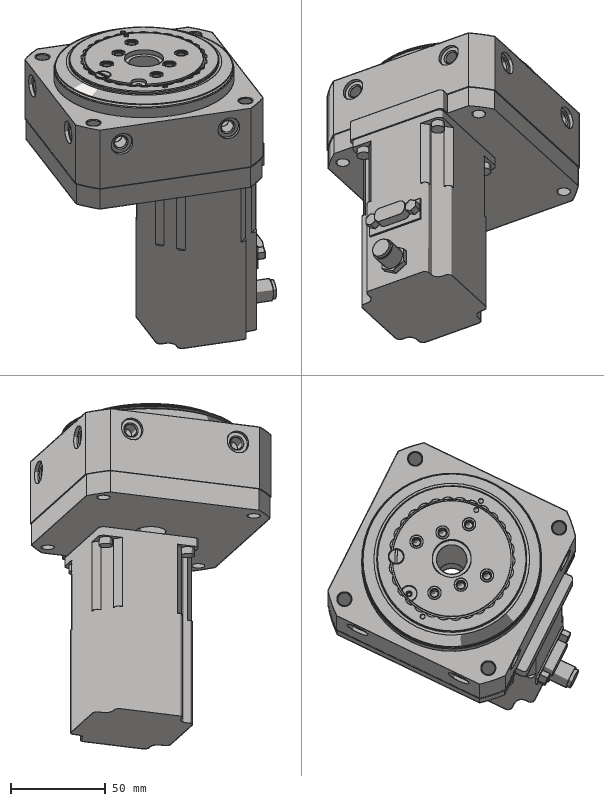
import cadquery as cq
import math


motor_top = 101.3
plate_top = 113.3
housing_top = 148.0
ring_top = 154.0
total_height = 160.0

housing_half = 52.5
housing_corner_radius = 67.4
ring_radius = 47.8
ring_chamfer = 0.5
bore_diameter = 16.0
mount_hole_offset = 42.5
mount_hole_diameter = 7.0
mount_hole_mouth_diameter = 8.0
side_hole_offset = 30.0
side_hole_z = 138.0
side_spotface_diameter = 12.0
side_spotface_depth = 2.0
side_hole_mouth_diameter = 8.0
side_hole_diameter = 6.7
side_hole_depth = 8.0
drill_tip_ratio = math.tan(math.radians(31))

plate_half = 52.0
plate_corner_radius = 66.9
tongue_half_width = 29.0
tongue_end_y = 58.0
tongue_fillet = 2.0

motor_side = 56.3
motor_half = motor_side / 2
motor_center_y = 29.3
motor_back_y = motor_center_y + motor_half
cap_bottom = 96.5
cap_corner_radius = 2.9
chamfer_zone_bottom = 57.8
corner_cut = 12.6
groove_radius = 4.5
edge_round = 2.7

screw_inset = 5.0
screw_head_diameter = 7.0
screw_head_height = 3.8
screw_shank_diameter = 4.0
screw_depth_in_plate = 6.4

plug_z = 13.0
plug_nut_diameter = 15.7
plug_nut_length = 3.0
plug_diameter = 12.0
plug_shoulder_length = 13.1
plug_tip_diameter = 10.4
plug_total_length = 15.0

socket_flange_z = 41.0
socket_flange_width = 31.7
socket_flange_height = 12.8
socket_flange_length = 1.0
socket_z = 41.6
socket_width = 18.7
socket_height = 8.5
socket_corner_radius = 3.4
socket_length = 6.4
post_offset = 12.4
post_across_flats = 6.2
post_length = 5.3

neck_radius = 39.8
flange_bottom = 155.2
flange_radius = 47.0
flange_rim_top = 155.7
cone_top = 158.0
cone_top_radius = 41.3
face_radius = 39.4
face_chamfer = 0.5
face_z = 159.5
disc_radius = 31.5
table_bore_mouth_diameter = 20.6
table_bore_mouth_depth = 2.5
hub_diameter = 32.0
seal_groove_radius = 32.5
seal_floor_z = 159.0
lobe_floor_z = 159.2
lobe_count = 30
lobe_circle_radius = 29.52
lobe_diameter = 8.2
table_hole_radius = 20.8
table_pin_hole_radius = 15.0
table_spotface_diameter = 7.0
table_spotface_depth = 0.6
table_hole_mouth_diameter = 5.0
table_hole_diameter = 4.2
table_hole_depth = 3.8
cap_plug_angle = -66.0
cap_plug_gap = 0.3
cap_plug_slot_depth = 0.5
cap_plug_slot_width = 1.1
recess_angle = -24.0
recess_diameter = 8.3
recess_depth = 1.6
recess_hole_mouth_diameter = 3.2
recess_hole_diameter = 2.0
recess_hole_depth = 2.0
mark_diameter = 2.5
mark_depth = 0.5
outer_mark_radius = 35.0
inner_mark_radius = 29.5


def cylinder(diameter, bottom, top, x=0.0, y=0.0):
    """Upright cylinder between two heights."""
    return cq.Workplane("XY", origin=(x, y, bottom)).circle(diameter / 2).extrude(top - bottom)


def polar(radius, degrees):
    """Point at a radius and angle about the table axis."""
    angle = math.radians(degrees)
    return radius * math.cos(angle), radius * math.sin(angle)


def square_corners(offset, center_y=0.0):
    """Four points of a square pattern centred on X = 0."""
    return [(sx * offset, center_y + sy * offset) for sx in (-1, 1) for sy in (-1, 1)]


def rounded_block(half_side, corner_radius, bottom, top):
    """Square block whose corners are cut by a large circle about the table axis."""
    block = cq.Workplane("XY", origin=(0, 0, bottom)).rect(2 * half_side, 2 * half_side).extrude(top - bottom)
    return block.intersect(cylinder(2 * corner_radius, bottom, top))


def drilled_hole(diameter, depth):
    """Cutter along -Z from the origin with a conical drill tip."""
    tip_end = depth + diameter / 2 * drill_tip_ratio
    profile = [(0, 0), (diameter / 2, 0), (diameter / 2, -depth), (0, -tip_end)]
    return cq.Workplane("XZ").polyline(profile).close().revolve(360, (0, 0, 0), (0, 1, 0))


def countersink(diameter, mouth_diameter):
    """45 degree cone along -Z from the origin, from the mouth down to the hole."""
    depth = (mouth_diameter - diameter) / 2
    cone = cq.Solid.makeCone(mouth_diameter / 2, diameter / 2, depth, dir=cq.Vector(0, 0, -1))
    return cq.Workplane(cone)


def spotfaced_hole(spot_diameter, spot_depth, mouth_diameter, diameter, depth):
    """Cutter along -Z from the origin: spotface, countersunk mouth and drilled hole."""
    hole = drilled_hole(diameter, depth).union(countersink(diameter, mouth_diameter))
    return cylinder(spot_diameter, -spot_depth, 0).union(hole.translate((0, 0, -spot_depth)))


def make_housing():
    body = rounded_block(housing_half, housing_corner_radius, plate_top, housing_top)
    ring = cylinder(2 * ring_radius, housing_top, ring_top).faces(">Z").chamfer(ring_chamfer)
    body = body.union(ring).cut(cylinder(hub_diameter, plate_top, ring_top))
    mouth = countersink(mount_hole_diameter, mount_hole_mouth_diameter)
    for x, y in square_corners(mount_hole_offset):
        hole = cylinder(mount_hole_diameter, plate_top, housing_top, x, y)
        body = body.cut(hole).cut(mouth.translate((x, y, housing_top)))
    return cut_side_holes(body)


def cut_side_holes(body):
    """Two threaded holes in each of the four sides."""
    hole = spotfaced_hole(
        side_spotface_diameter,
        side_spotface_depth,
        side_hole_mouth_diameter,
        side_hole_diameter,
        side_hole_depth,
    ).rotate((0, 0, 0), (1, 0, 0), 90)
    for offset in (-side_hole_offset, side_hole_offset):
        placed = hole.translate((offset, -housing_half, side_hole_z))
        for turn in (0, 90, 180, 270):
            body = body.cut(placed.rotate((0, 0, 0), (0, 0, 1), turn))
    return body


def make_plate():
    plate = rounded_block(plate_half, plate_corner_radius, motor_top, plate_top)
    tongue = (
        cq.Workplane("XY", origin=(0, tongue_end_y / 2, motor_top))
        .rect(2 * tongue_half_width, tongue_end_y)
        .extrude(plate_top - motor_top)
        .edges("|Z and >Y")
        .fillet(tongue_fillet)
    )
    plate = plate.union(tongue).cut(cylinder(bore_diameter, motor_top, plate_top))
    for x, y in square_corners(mount_hole_offset):
        plate = plate.cut(cylinder(mount_hole_diameter, motor_top, plate_top, x, y))
    for x, y in screw_points():
        plate = plate.cut(cylinder(screw_shank_diameter, motor_top, motor_top + screw_depth_in_plate, x, y))
    return plate


def screw_points():
    return square_corners(motor_half - screw_inset, motor_center_y)


def corner_groove_cutter():
    """Full-length corner cut: rounded edges, short flats and a concave groove.

    Drawn for the corner at the origin of a body lying in +X, +Y.
    """
    near = groove_radius
    far = 2 * groove_radius
    round_end = far + edge_round
    mid = near + groove_radius * math.sqrt(0.5)
    bulge = edge_round * (1 - math.sqrt(0.5))
    return (
        cq.Workplane("XY")
        .lineTo(round_end, 0)
        .threePointArc((far + bulge, bulge), (far, edge_round))
        .lineTo(far, near)
        .threePointArc((mid, mid), (near, far))
        .lineTo(edge_round, far)
        .threePointArc((bulge, far + bulge), (0, round_end))
        .close()
        .extrude(cap_bottom)
    )


def corner_chamfer_cutter():
    """Wide corner chamfer between the grooved length and the cap."""
    height = cap_bottom - chamfer_zone_bottom
    outline = [(0, 0), (corner_cut, 0), (0, corner_cut)]
    return cq.Workplane("XY", origin=(0, 0, chamfer_zone_bottom)).polyline(outline).close().extrude(height)


def make_motor():
    body = cq.Workplane("XY").rect(motor_side, motor_side).extrude(motor_top)
    cutter = corner_groove_cutter().union(corner_chamfer_cutter()).translate((-motor_half, -motor_half, 0))
    for turn in (0, 90, 180, 270):
        body = body.cut(cutter.rotate((0, 0, 0), (0, 0, 1), turn))
    cap_bounds = (
        cq.Workplane("XY", origin=(0, 0, cap_bottom))
        .rect(motor_side, motor_side)
        .extrude(motor_top - cap_bottom)
        .edges("|Z")
        .fillet(cap_corner_radius)
    )
    shaft_part = body.intersect(cq.Workplane("XY").rect(motor_side, motor_side).extrude(cap_bottom))
    body = shaft_part.union(cap_bounds).translate((0, motor_center_y, 0))
    for x, y in screw_points():
        body = body.cut(cylinder(screw_shank_diameter, cap_bottom, motor_top, x, y))
    return body.union(make_round_connector()).union(make_flat_connector())


def back_plane(x, z):
    """Sketch plane on the motor back, facing +Y."""
    return cq.Workplane(cq.Plane(origin=(x, motor_back_y, z), xDir=(-1, 0, 0), normal=(0, 1, 0)))


def make_round_connector():
    nut = back_plane(0, plug_z).polygon(6, plug_nut_diameter).extrude(plug_nut_length)
    nut = nut.rotate((0, 0, plug_z), (0, 1, plug_z), 30)
    barrel = back_plane(0, plug_z).circle(plug_diameter / 2).extrude(plug_shoulder_length)
    tip = back_plane(0, plug_z).circle(plug_tip_diameter / 2).extrude(plug_total_length)
    return nut.union(barrel).union(tip)


def make_flat_connector():
    flange = back_plane(0, socket_flange_z).rect(socket_flange_width, socket_flange_height)
    connector = flange.extrude(socket_flange_length)
    shell = back_plane(0, socket_z).rect(socket_width, socket_height).extrude(socket_length)
    connector = connector.union(shell.edges("|Y").fillet(socket_corner_radius))
    corner_diameter = post_across_flats / math.cos(math.radians(30))
    for x in (-post_offset, post_offset):
        post = back_plane(x, socket_z).polygon(6, corner_diameter).extrude(post_length)
        connector = connector.union(post.rotate((x, 0, socket_z), (x, 1, socket_z), 30))
    return connector


def make_screw(x, y):
    head = cylinder(screw_head_diameter, cap_bottom - screw_head_height, cap_bottom, x, y)
    shank = cylinder(screw_shank_diameter, cap_bottom, motor_top + screw_depth_in_plate, x, y)
    return head.union(shank)


def make_table():
    profile = [
        (0, plate_top),
        (hub_diameter / 2, plate_top),
        (hub_diameter / 2, ring_top),
        (neck_radius, ring_top),
        (neck_radius, flange_bottom),
        (flange_radius, flange_bottom),
        (flange_radius, flange_rim_top),
        (cone_top_radius, cone_top),
        (face_radius + face_chamfer, cone_top),
        (face_radius + face_chamfer, face_z - face_chamfer),
        (face_radius, face_z),
        (disc_radius, face_z),
        (disc_radius, total_height),
        (0, total_height),
    ]
    table = cq.Workplane("XZ").polyline(profile).close().revolve(360, (0, 0, 0), (0, 1, 0))
    table = table.cut(seal_groove())
    table = table.cut(cylinder(bore_diameter, plate_top, total_height))
    mouth_floor = total_height - table_bore_mouth_depth
    table = table.cut(cylinder(table_bore_mouth_diameter, mouth_floor, total_height))
    table = add_cap_plug(cut_table_holes(table)).cut(recess_cutter())
    mark = drilled_hole(mark_diameter, mark_depth)
    for x in (-outer_mark_radius, outer_mark_radius):
        table = table.cut(mark.translate((x, 0, face_z)))
    return table.cut(mark.translate((-inner_mark_radius, 0, total_height)))


def seal_groove():
    """Narrow groove round the raised disc, with a scalloped outer edge."""
    groove = cylinder(2 * seal_groove_radius, seal_floor_z, face_z)
    for index in range(lobe_count):
        x, y = polar(lobe_circle_radius, 90 + index * 360 / lobe_count)
        groove = groove.union(cylinder(lobe_diameter, lobe_floor_z, face_z, x, y))
    return groove.cut(cylinder(2 * disc_radius, seal_floor_z, face_z))


def cut_table_holes(table):
    """Four threaded holes on the axes and two on the diagonal."""
    hole = spotfaced_hole(
        table_spotface_diameter,
        table_spotface_depth,
        table_hole_mouth_diameter,
        table_hole_diameter,
        table_hole_depth,
    )
    points = [polar(table_hole_radius, angle) for angle in (0, 90, 180, 270)]
    points += [polar(table_pin_hole_radius, angle) for angle in (45, 225)]
    for x, y in points:
        table = table.cut(hole.translate((x, y, total_height)))
    return table


def add_cap_plug(table):
    """Flush slotted plug at the disc edge, ringed by a thin gap."""
    x, y = polar(lobe_circle_radius, cap_plug_angle)
    plug_diameter_inside_gap = recess_diameter - 2 * cap_plug_gap
    table = table.cut(cylinder(recess_diameter, seal_floor_z, total_height, x, y))
    table = table.union(cylinder(plug_diameter_inside_gap, seal_floor_z, total_height, x, y))
    slot = cq.Workplane("XY").rect(cap_plug_slot_width, recess_diameter).extrude(cap_plug_slot_depth)
    slot = slot.rotate((0, 0, 0), (0, 0, 1), cap_plug_angle)
    return table.cut(slot.translate((x, y, total_height - cap_plug_slot_depth)))


def recess_cutter():
    """Open plug seat with a small hole in its floor, kept inside the raised disc."""
    x, y = polar(lobe_circle_radius, recess_angle)
    cutter = spotfaced_hole(
        recess_diameter,
        recess_depth,
        recess_hole_mouth_diameter,
        recess_hole_diameter,
        recess_hole_depth,
    ).translate((x, y, total_height))
    return cutter.intersect(cylinder(2 * disc_radius, ring_top, total_height))


housing = make_housing()
plate = make_plate()
motor = make_motor()
table = make_table()
screws = [make_screw(x, y) for x, y in screw_points()]

result = cq.Compound.makeCompound(
    [housing.val(), plate.val(), motor.val(), table.val(), *[screw.val() for screw in screws]]
)